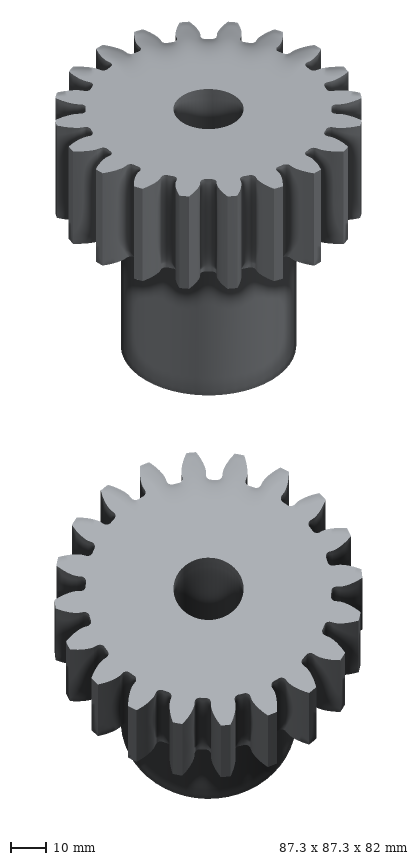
import cadquery as cq
import math

overall_width = 87.3
overall_height = 82.0
face_width = 32.0
hub_diameter = 50.0
bore_diameter = 20.0

tooth_count = 20
pressure_angle = math.radians(20)
addendum_factor = 1.0
dedendum_factor = 1.25
root_fillet_radius = 1.5
flank_point_count = 13


def involute(angle):
    """Involute function: polar angle swept at a given pressure angle."""
    return math.tan(angle) - angle


half_spacing = math.pi / tooth_count
base_half_angle = half_spacing / 2 + involute(pressure_angle)
tip_ratio = 1 + 2 * addendum_factor / tooth_count
tip_pressure_angle = math.acos(math.cos(pressure_angle) / tip_ratio)
tip_half_angle = base_half_angle - involute(tip_pressure_angle)

tip_radius = overall_width / 2 / math.cos(half_spacing - tip_half_angle)
pitch_radius = tip_radius / tip_ratio
module = 2 * pitch_radius / tooth_count
base_radius = pitch_radius * math.cos(pressure_angle)
root_radius = pitch_radius - dedendum_factor * module


def polar(radius, angle):
    return (radius * math.cos(angle), radius * math.sin(angle))


def flank_points(tooth_angle, side):
    """Involute from base circle to tip circle; side is -1 or +1 about the tooth centre."""
    points = []
    for i in range(flank_point_count):
        roll = math.tan(tip_pressure_angle) * i / (flank_point_count - 1)
        local_angle = math.atan(roll)
        radius = base_radius / math.cos(local_angle)
        points.append(polar(radius, tooth_angle + side * (base_half_angle - involute(local_angle))))
    return points


def make_gear():
    first_tooth_angle = half_spacing
    outline = cq.Workplane("XY").moveTo(*polar(root_radius, first_tooth_angle - base_half_angle))
    for i in range(tooth_count):
        tooth_angle = first_tooth_angle + 2 * half_spacing * i
        rising = flank_points(tooth_angle, -1)
        falling = flank_points(tooth_angle, 1)[::-1]
        space_middle = polar(root_radius, tooth_angle + half_spacing)
        next_root = polar(root_radius, tooth_angle + 2 * half_spacing - base_half_angle)
        outline = (
            outline.lineTo(*rising[0])
            .spline(rising[1:], includeCurrent=True)
            .threePointArc(polar(tip_radius, tooth_angle), falling[0])
            .spline(falling[1:], includeCurrent=True)
            .lineTo(*polar(root_radius, tooth_angle + base_half_angle))
            .threePointArc(space_middle, next_root)
        )
    gear = outline.close().extrude(face_width)

    corner_reach = (root_radius + base_radius) / 2
    root_corners = [
        edge
        for edge in gear.edges("|Z").vals()
        if math.hypot(edge.Center().x, edge.Center().y) < corner_reach
    ]
    return gear.newObject(root_corners).fillet(root_fillet_radius)


hub_length = overall_height - face_width
gear = make_gear().translate((0, 0, hub_length))
hub = cq.Workplane("XY").circle(hub_diameter / 2).extrude(hub_length)
bore = cq.Workplane("XY").circle(bore_diameter / 2).extrude(overall_height)
result = gear.union(hub).cut(bore)